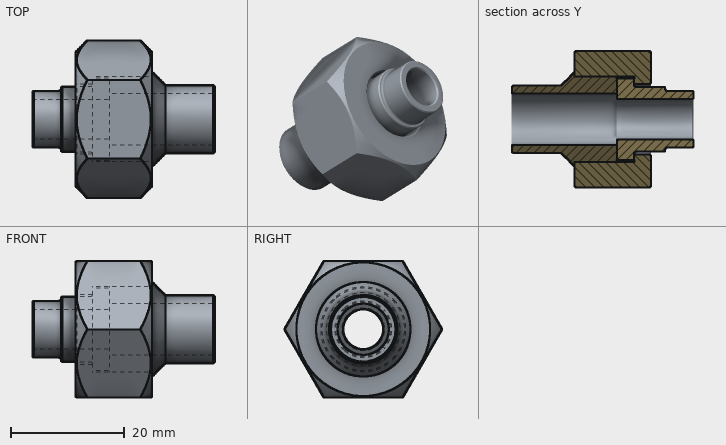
import cadquery as cq
import math


tail_stem_length = 5.0
nut_start = 7.5
nut_length = 13.5
nut_end = nut_start + nut_length
web_thickness = 3.0
flange_start = nut_start + web_thickness
flange_thickness = 3.0
flange_end = flange_start + flange_thickness
overall_length = 32.0

tail_bore_diameter = 7.0
stem_diameter = 10.0
collar_diameter = 11.5
flange_diameter = 14.5
tail_fillet = 0.4
tail_chamfer = 0.2
tail_bore_chamfer = 0.25

across_flats = 24.0
across_corners = across_flats / math.cos(math.radians(30))
nut_face_diameter = 23.5
nut_corner_chamfer = (across_corners - nut_face_diameter) / 2
web_hole_diameter = 12.3
web_hole_chamfer = 0.3
thread_diameter = 14.95

fitting_bore_diameter = 9.0
shoulder_diameter = 16.6
spigot_diameter = 12.0
spigot_chamfer = 0.3
taper_end = nut_end + (shoulder_diameter - spigot_diameter) / 2


def cylinder(diameter, start, end):
    """A cylinder on the X axis between two axial positions."""
    return cq.Workplane("YZ", origin=(start, 0, 0)).circle(diameter / 2).extrude(end - start)


def revolve_profile(profile):
    """Turn an outline of (axial position, radius) around the X axis."""
    return profile.close().revolve(360, (0, 0, 0), (1, 0, 0))


def concave_fillet(profile, shoulder, radius):
    """Run along a cylinder and round the inner corner up to a shoulder face."""
    center_x = shoulder - tail_fillet
    center_radius = radius + tail_fillet
    offset = tail_fillet * math.sin(math.radians(45))
    return profile.lineTo(center_x, radius).threePointArc(
        (center_x + offset, center_radius - offset),
        (shoulder, center_radius),
    )


def make_tail_piece():
    bore_radius = tail_bore_diameter / 2
    stem_radius = stem_diameter / 2
    collar_radius = collar_diameter / 2

    profile = (
        cq.Workplane("XY")
        .moveTo(tail_bore_chamfer, bore_radius)
        .lineTo(0, bore_radius + tail_bore_chamfer)
        .lineTo(0, stem_radius - tail_chamfer)
        .lineTo(tail_chamfer, stem_radius)
    )
    profile = concave_fillet(profile, tail_stem_length, stem_radius)
    profile = (
        profile
        .lineTo(tail_stem_length, collar_radius - tail_chamfer)
        .lineTo(tail_stem_length + tail_chamfer, collar_radius)
    )
    profile = concave_fillet(profile, flange_start, collar_radius)
    profile = (
        profile
        .lineTo(flange_start, flange_diameter / 2)
        .lineTo(flange_end, flange_diameter / 2)
        .lineTo(flange_end, bore_radius)
    )
    return revolve_profile(profile)


def make_nut():
    nut_plane = cq.Workplane("YZ", origin=(nut_start, 0, 0))
    hexagon = nut_plane.polygon(6, across_corners).extrude(nut_length)
    corner_envelope = cylinder(across_corners, nut_start, nut_end)
    corner_envelope = corner_envelope.edges("%CIRCLE").chamfer(nut_corner_chamfer)
    web_hole = cylinder(web_hole_diameter, nut_start, flange_start)
    thread_bore = cylinder(thread_diameter, flange_start, nut_end)
    nut = hexagon.intersect(corner_envelope).cut(web_hole).cut(thread_bore)
    web_hole_rim = cq.selectors.RadiusNthSelector(0)
    return nut.faces("<X").edges(web_hole_rim).chamfer(web_hole_chamfer)


def make_fitting():
    bore_radius = fitting_bore_diameter / 2
    spigot_radius = spigot_diameter / 2
    profile = (
        cq.Workplane("XY")
        .moveTo(flange_end, bore_radius)
        .lineTo(flange_end, thread_diameter / 2)
        .lineTo(nut_end, thread_diameter / 2)
        .lineTo(nut_end, shoulder_diameter / 2)
        .lineTo(taper_end, spigot_radius)
        .lineTo(overall_length - spigot_chamfer, spigot_radius)
        .lineTo(overall_length, spigot_radius - spigot_chamfer)
        .lineTo(overall_length, bore_radius)
    )
    return revolve_profile(profile)


tail_piece = make_tail_piece()
nut = make_nut()
fitting = make_fitting()

result = cq.Compound.makeCompound([tail_piece.val(), nut.val(), fitting.val()])